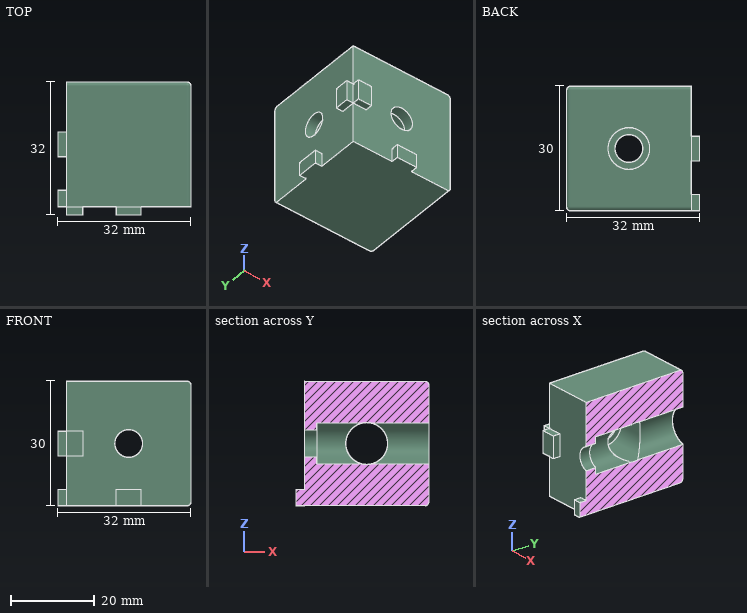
import cadquery as cq

CUBE_SIZE = 30.0
EDGE_RADIUS = 1.0
CENTRE = CUBE_SIZE / 2

WALL_THICKNESS = 3.0
BORE_DIAMETER = 10.0
HOLE_DIAMETER = 6.6

TAB_LENGTH = 6.0
TAB_WIDTH = 4.0
TAB_PROTRUSION = 2.0
TAB_START = CENTRE - TAB_LENGTH / 2


def rounded_cube():
    """Cube rounded on every edge of the +X and +Y faces that the -X and -Y faces do not share."""
    cube = cq.Workplane("XY").box(CUBE_SIZE, CUBE_SIZE, CUBE_SIZE, centered=False)
    return cube.edges("(>X or >Y) except (<X or <Y)").fillet(EDGE_RADIUS)


def block(size, corner):
    """Box of the given X, Y, Z size with its lowest corner at the given point."""
    return cq.Workplane("XY").box(*size, centered=False).translate(corner)


def tabs():
    """On each face, a flat tab at the bottom edge and an upright tab at the shared -X, -Y corner."""
    flat_x = block((TAB_PROTRUSION, TAB_LENGTH, TAB_WIDTH), (-TAB_PROTRUSION, TAB_START, 0))
    flat_y = block((TAB_LENGTH, TAB_PROTRUSION, TAB_WIDTH), (TAB_START, -TAB_PROTRUSION, 0))
    upright_x = block((TAB_PROTRUSION, TAB_WIDTH, TAB_LENGTH), (-TAB_PROTRUSION, 0, TAB_START))
    upright_y = block((TAB_WIDTH, TAB_PROTRUSION, TAB_LENGTH), (0, -TAB_PROTRUSION, TAB_START))
    return [flat_x, flat_y, upright_x, upright_y]


def stepped_hole(axis):
    """Hole through the cube centre along the given +X or +Y axis, widening behind the entry wall."""
    centre = cq.Vector(CENTRE, CENTRE, CENTRE)
    entry = centre - axis * CENTRE
    step = entry + axis * WALL_THICKNESS
    hole = cq.Solid.makeCylinder(HOLE_DIAMETER / 2, CUBE_SIZE, entry, axis)
    bore = cq.Solid.makeCylinder(BORE_DIAMETER / 2, CUBE_SIZE - WALL_THICKNESS, step, axis)
    return hole.fuse(bore)


result = rounded_cube()
for tab in tabs():
    result = result.union(tab)
for hole_axis in (cq.Vector(1, 0, 0), cq.Vector(0, 1, 0)):
    result = result.cut(stepped_hole(hole_axis))